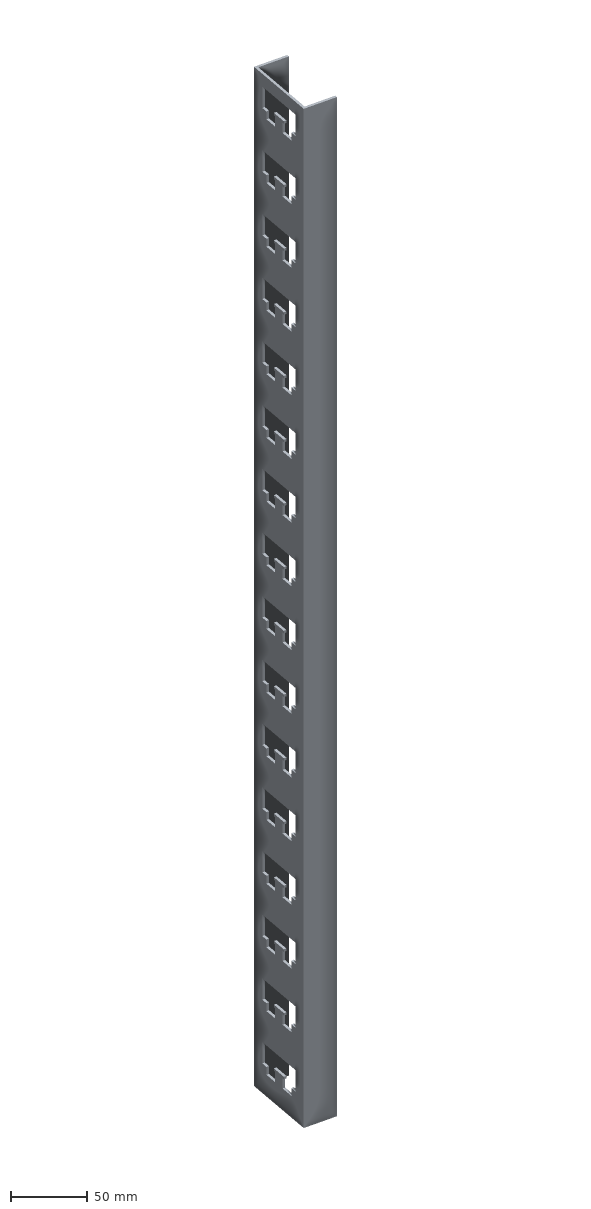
import cadquery as cq

length = 800.0
width = 60.0
sheet = 2.0
flange_reach = 24.0
depth = sheet + flange_reach

slot_count = 16
slot_pitch = length / slot_count
slot_top = 40.0

upper_width = 40.0
upper_height = 17.0
side_step = 5.0
lower_width = upper_width - 2 * side_step
lower_height = 6.2
slot_height = upper_height + lower_height

neck_width = 9.0
neck_height = 8.0
head_width = 12.0
head_height = 2.0


def block(size_x, size_y, size_z, front, base):
    """Block centred on X, reaching back from `front` and up from `base`."""
    solid = cq.Workplane("XY").box(size_x, size_y, size_z, centered=(True, False, False))
    return solid.translate((0, front, base))


def channel():
    """U-shaped channel, open towards +Y."""
    outer = block(width, depth, length, 0, 0)
    inner = block(width - 2 * sheet, flange_reach, length, sheet, 0)
    return outer.cut(inner)


def web_block(size_x, size_z, base):
    """Block as thick as the web, lying in the web."""
    return block(size_x, sheet, size_z, 0, base)


def slot(base):
    """Cutter for one stepped slot, leaving its tongue in the middle."""
    lower = web_block(lower_width, lower_height, base)
    upper = web_block(upper_width, upper_height, base + lower_height)
    neck = web_block(neck_width, neck_height, base)
    head = web_block(head_width, head_height, base + neck_height)
    return lower.union(upper).cut(neck.union(head))


result = channel()
for index in range(slot_count):
    slot_base = index * slot_pitch + slot_top - slot_height
    result = result.cut(slot(slot_base))